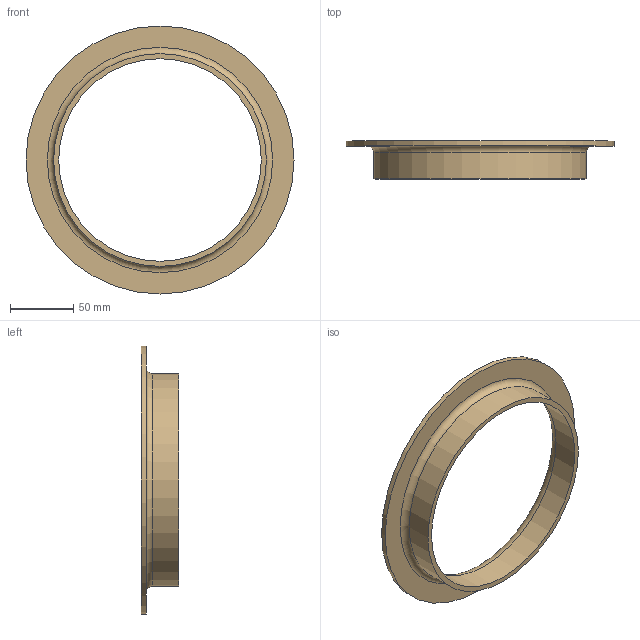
import cadquery as cq

flange_diameter = 212.0
tube_outer_diameter = 168.3
wall = 4.0
total_length = 30.0
outer_bend_radius = 5.0

inner_bend_radius = outer_bend_radius + wall
tube_outer_radius = tube_outer_diameter / 2
tube_inner_radius = tube_outer_radius - wall
flange_radius = flange_diameter / 2


def make_wall_profile():
    """Closed half section of the wall in the XY plane, X being the radius."""
    bend_centre_radius = tube_outer_radius + outer_bend_radius
    bend_start_y = -inner_bend_radius
    return (
        cq.Workplane("XY")
        .moveTo(tube_inner_radius, -total_length)
        .lineTo(tube_outer_radius, -total_length)
        .lineTo(tube_outer_radius, bend_start_y)
        .radiusArc((bend_centre_radius, -wall), outer_bend_radius)
        .lineTo(flange_radius, -wall)
        .lineTo(flange_radius, 0)
        .lineTo(bend_centre_radius, 0)
        .radiusArc((tube_inner_radius, bend_start_y), -inner_bend_radius)
        .close()
    )


def make_collar():
    """Turn the wall section once round the Y axis."""
    full_turn = 360
    return make_wall_profile().revolve(full_turn, (0, 0, 0), (0, 1, 0))


result = make_collar()